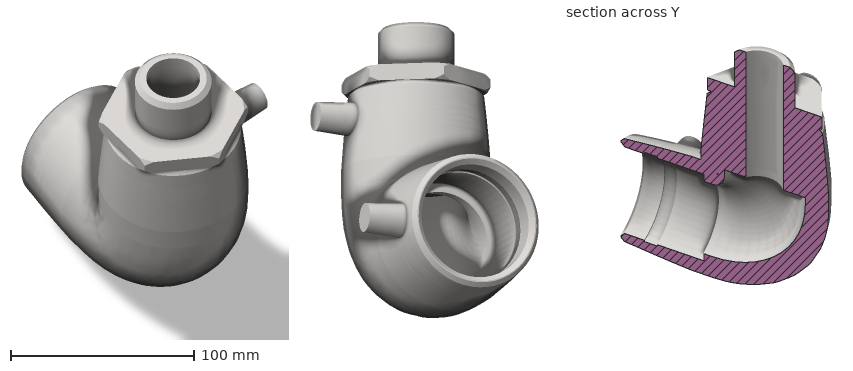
import cadquery as cq
import math

overall_x = 131.0
overall_y = 100.0
overall_z = 167.0
body_radius = 82.0 / 2
bend_radius = 33.0
bore_radius = 26.7

collar_end = 46.3
arm_end = overall_x - body_radius
rim_chamfer = 2.3
sleeve_end_radius = 37.2
sleeve_mid_radius = 39.4

socket_mouth_radius = 34.2
socket_radius = 63.0 / 2
socket_chamfer_depth = 2.7
groove_start_depth = 15.0
groove_end_depth = 22.9
groove_radius = 32.4
socket_depth = 51.8

hex_flats = 71.1
hex_thickness = 9.0
hex_chamfer = 2.3
nozzle_diameter = 42.0
nozzle_bore_diameter = 29.4
nozzle_length = overall_z - body_radius - arm_end - hex_thickness
nozzle_chamfer = 2.7

terminal_offset = 72.3
terminal_base_y = 33.4
terminal_tip_y = overall_y - body_radius
terminal_base_diameter = 19.4
terminal_tip_diameter = 15.9


def swap_arms(shape):
    """Turn a shape on the +Z axis onto the -X axis."""
    return shape.rotate((0, 0, 0), (0, 1, 0), -90)


def disc(radius, bottom, height):
    return cq.Workplane("XY").workplane(offset=bottom).circle(radius).extrude(height)


def quarter_bend(tube_radius):
    """Tube turned a quarter turn about the bend centre, its section cut off at the turning axis."""
    section = cq.Workplane("XY").workplane(offset=bend_radius).circle(tube_radius)
    tube_end = section.extrude(1.7)
    outer_side = cq.Workplane("XY").box(4 * tube_radius, 4 * tube_radius, 4 * bend_radius)
    outer_side = outer_side.translate((2 * tube_radius - bend_radius, 0, 0))
    face = tube_end.intersect(outer_side).faces("<Z")
    wire = face.wires().val()
    turned = cq.Solid.revolve(
        wire, [], 90, cq.Vector(-bend_radius, 0, bend_radius), cq.Vector(-bend_radius, 1.7, bend_radius)
    )
    return cq.Workplane(turned)


def arm():
    """Cylindrical collar and gently bulged sleeve along +Z, with a chamfered rim."""
    rim_start = arm_end - rim_chamfer
    return (
        cq.Workplane("XZ")
        .moveTo(0, bend_radius)
        .lineTo(body_radius, bend_radius)
        .lineTo(body_radius, collar_end)
        .threePointArc((sleeve_mid_radius, (collar_end + rim_start) / 2), (sleeve_end_radius, rim_start))
        .lineTo(sleeve_end_radius - rim_chamfer, arm_end)
        .lineTo(0, arm_end)
        .close()
        .revolve(360, (0, 0, 0), (0, 1, 0))
    )


def hex_flange():
    corner_diameter = hex_flats / math.cos(math.pi / 6)
    hexagon = (
        cq.Workplane("XY").workplane(offset=arm_end).polygon(6, corner_diameter).extrude(hex_thickness)
    )
    corner_trim = disc(corner_diameter / 2, arm_end, hex_thickness).edges().chamfer(hex_chamfer)
    return hexagon.intersect(corner_trim)


def nozzle():
    tube = disc(nozzle_diameter / 2, arm_end + hex_thickness, nozzle_length)
    return tube.faces(">Z").edges().chamfer(nozzle_chamfer)


def terminal(x, z):
    return (
        cq.Workplane("XZ", origin=(x, terminal_base_y, z))
        .circle(terminal_base_diameter / 2)
        .workplane(offset=terminal_base_y - terminal_tip_y)
        .circle(terminal_tip_diameter / 2)
        .loft()
    )


def socket():
    """Straight seat along +Z with a chamfered mouth and a wide shallow groove."""
    return (
        cq.Workplane("XZ")
        .moveTo(0, arm_end)
        .lineTo(socket_mouth_radius, arm_end)
        .lineTo(socket_radius, arm_end - socket_chamfer_depth)
        .lineTo(socket_radius, arm_end - groove_start_depth)
        .lineTo(groove_radius, arm_end - groove_start_depth)
        .lineTo(groove_radius, arm_end - groove_end_depth)
        .lineTo(socket_radius, arm_end - groove_end_depth)
        .lineTo(socket_radius, arm_end - socket_depth)
        .lineTo(0, arm_end - socket_depth)
        .close()
        .revolve(360, (0, 0, 0), (0, 1, 0))
    )


def passage():
    """Flow path from the socket through the bend and out of the nozzle."""
    straight = disc(bore_radius, bend_radius, arm_end - socket_depth - bend_radius)
    nozzle_top = arm_end + hex_thickness + nozzle_length
    outlet = disc(nozzle_bore_diameter / 2, bend_radius, nozzle_top - bend_radius)
    return (
        quarter_bend(bore_radius)
        .union(straight)
        .union(swap_arms(straight))
        .union(outlet)
        .union(swap_arms(socket()))
    )


outer_bend = cq.Workplane(quarter_bend(body_radius).val().transformGeometry(cq.Matrix()))
body = outer_bend.union(arm()).union(swap_arms(arm()))
body = body.union(hex_flange()).union(nozzle())
for x, z in ((-terminal_offset, 0), (0, terminal_offset)):
    body = body.union(terminal(x, z))

result = body.cut(passage())